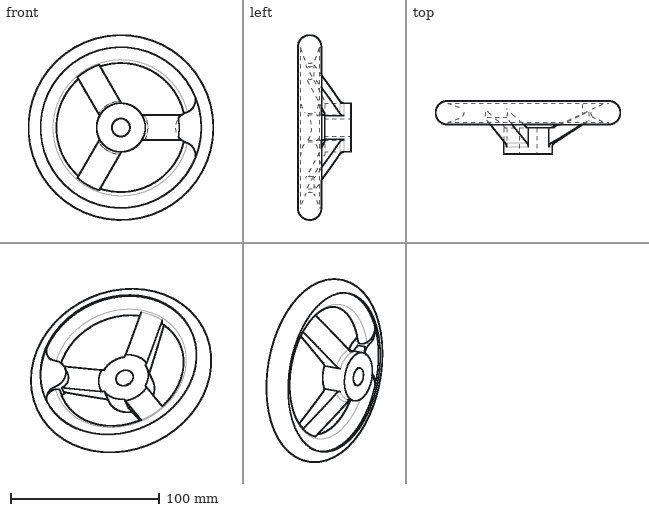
import cadquery as cq
import math


outer_radius = 62.5
rim_half_width = 8.0
tube_radius = rim_half_width
tube_center_radius = outer_radius - tube_radius
step_radius = 54.2
step_depth = 1.5
cone_half_width = rim_half_width - step_depth
lip_edge_radius = 46.0
lip_half_width = 3.5
lip_radius = 43.5

hub_radius = 33.0 / 2
bore_radius = 12.0 / 2
hub_front = -28.0
hub_back = -10.0

spoke_count = 3
spoke_width = 17.0
spoke_root_y = -23.4
flare_end_radius = 18.0
flare_end_y = -20.4
spoke_front_slope = 0.65
spoke_inner_radius = 10.0
spoke_tip_radius = 46.2
spoke_tip_back = 3.5
spoke_back_start_radius = 18.0

boss_x = 47.5
boss_radius = 10.7
boss_blend_radius = 8.5
boss_shoulder_x = 50.2


def revolve_about_y(profile):
    return profile.close().revolve(360, (0, 0, 0), (0, 1, 0))


def y_cylinder(radius, front, back):
    return cq.Workplane("XZ", origin=(0, back, 0)).circle(radius).extrude(back - front)


def make_rim():
    profile = (
        cq.Workplane("XY")
        .moveTo(tube_center_radius, -rim_half_width)
        .threePointArc((outer_radius, 0), (tube_center_radius, rim_half_width))
        .lineTo(step_radius, rim_half_width)
        .lineTo(step_radius, cone_half_width)
        .lineTo(lip_edge_radius, lip_half_width)
        .threePointArc((lip_radius, 0), (lip_edge_radius, -lip_half_width))
        .lineTo(step_radius, -cone_half_width)
        .lineTo(step_radius, -rim_half_width)
    )
    return revolve_about_y(profile)


def make_spokes():
    """Cut straight-sided spokes out of a conical web flared at the hub."""
    tip_front = flare_end_y + spoke_front_slope * (spoke_tip_radius - flare_end_radius)
    profile = (
        cq.Workplane("XY")
        .moveTo(spoke_inner_radius, hub_back)
        .lineTo(spoke_back_start_radius, hub_back)
        .lineTo(spoke_tip_radius, spoke_tip_back)
        .lineTo(spoke_tip_radius, tip_front)
        .lineTo(flare_end_radius, flare_end_y)
        .tangentArcPoint((hub_radius, spoke_root_y), relative=False)
        .lineTo(spoke_inner_radius, spoke_root_y)
    )
    web = revolve_about_y(profile)
    bars = cq.Workplane("XY")
    for index in range(spoke_count):
        bar = (
            cq.Workplane("XY")
            .box(outer_radius, 2 * outer_radius, spoke_width, centered=(False, True, True))
            .rotate((0, 0, 0), (0, 1, 0), index * 360 / spoke_count)
        )
        bars = bars.add(bar)
    return web.intersect(bars.combine())


def make_boss():
    """Round boss widening into the rim through a tangent blend on each side."""
    blend_x = boss_shoulder_x - boss_blend_radius
    center_distance = boss_radius + boss_blend_radius
    blend_z = math.sqrt(center_distance**2 - (boss_x - blend_x) ** 2)
    boss_share = boss_radius / center_distance
    touch_x = boss_x + boss_share * (blend_x - boss_x)
    touch_z = boss_share * blend_z
    angle = math.atan2(touch_z - blend_z, touch_x - blend_x) / 2
    mid_x = blend_x + boss_blend_radius * math.cos(angle)
    mid_z = blend_z + boss_blend_radius * math.sin(angle)
    shoulder_z = math.sqrt(step_radius**2 - boss_shoulder_x**2)
    outline = (
        cq.Workplane("XZ", origin=(0, cone_half_width, 0))
        .moveTo(touch_x, -touch_z)
        .threePointArc((boss_x - boss_radius, 0), (touch_x, touch_z))
        .threePointArc((mid_x, mid_z), (boss_shoulder_x, blend_z))
        .lineTo(boss_shoulder_x, shoulder_z)
        .threePointArc((step_radius, 0), (boss_shoulder_x, -shoulder_z))
        .lineTo(boss_shoulder_x, -blend_z)
        .threePointArc((mid_x, -mid_z), (touch_x, -touch_z))
        .close()
    )
    return outline.extrude(2 * cone_half_width)


hub = y_cylinder(hub_radius, hub_front, hub_back)
bore = y_cylinder(bore_radius, hub_front, hub_back)
result = make_rim().union(make_boss()).union(make_spokes()).union(hub).cut(bore)